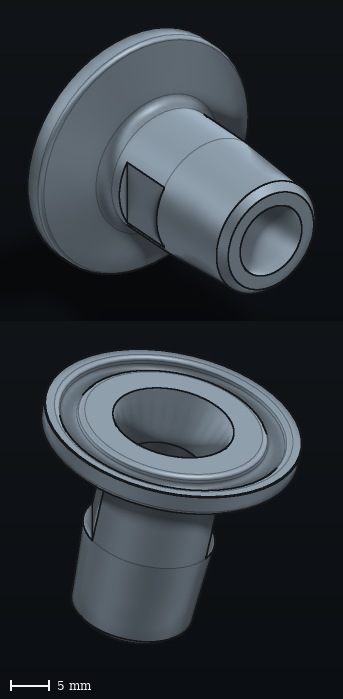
import cadquery as cq
import math

length = 30.0
flange_radius = 17.0

rim_front_chamfer = 0.1
rim_end = 2.3
rim_round = 0.7
neck_round = 1.87

body_radius = 8.75
neck_end = 7.2
body_end = 16.85
tip_radius = 8.02
tip_chamfer = 1.1

flat_start = 8.95
flat_end = 16.95
flat_distance = 7.48

bore_radius = 5.0
inlet_radius = 8.0
inlet_depth = 6.45

groove_center = 13.75
groove_half_width = 2.0
groove_lip_round = 0.8
groove_floor_round = 1.22
groove_wall_angle = math.radians(25)


def on_circle(center, radius, angle):
    """Point on a circle in the (x, radius) half plane."""
    return (center[0] + radius * math.cos(angle), center[1] + radius * math.sin(angle))


def revolve(profile):
    return profile.close().revolve(360, (0, 0, 0), (1, 0, 0))


def make_outside():
    rim_center = (rim_end, flange_radius - rim_round)
    neck_center = (neck_end, body_radius + neck_round)

    center_dx = neck_center[0] - rim_center[0]
    center_dr = neck_center[1] - rim_center[1]
    center_distance = math.hypot(center_dx, center_dr)
    normal = math.atan2(center_dr, center_dx) + math.acos((rim_round + neck_round) / center_distance)

    return revolve(
        cq.Workplane("XY")
        .lineTo(0, flange_radius - rim_front_chamfer)
        .lineTo(rim_front_chamfer, flange_radius)
        .lineTo(rim_end, flange_radius)
        .threePointArc(
            on_circle(rim_center, rim_round, (math.pi / 2 + normal) / 2),
            on_circle(rim_center, rim_round, normal),
        )
        .lineTo(*on_circle(neck_center, neck_round, math.pi + normal))
        .threePointArc(
            on_circle(neck_center, neck_round, (math.pi + normal + 1.5 * math.pi) / 2),
            (neck_end, body_radius),
        )
        .lineTo(body_end, body_radius)
        .lineTo(length - tip_chamfer, tip_radius)
        .lineTo(length, tip_radius - tip_chamfer)
        .lineTo(length, 0)
    )


def make_bore():
    return revolve(
        cq.Workplane("XY")
        .lineTo(0, inlet_radius)
        .lineTo(inlet_depth, bore_radius)
        .lineTo(length, bore_radius)
        .lineTo(length, 0)
    )


def make_groove():
    wall = groove_wall_angle
    wall_width = groove_half_width - (groove_lip_round + groove_floor_round) * math.cos(wall)
    wall_depth = wall_width / math.tan(wall)
    lip_depth = groove_lip_round * (1 - math.sin(wall))
    floor_depth = groove_floor_round * (1 - math.sin(wall))
    depth = lip_depth + wall_depth + floor_depth

    wall_top = groove_half_width - groove_lip_round * math.cos(wall)
    wall_bottom = wall_top - wall_width

    lip_mid_angle = (math.pi / 2 - wall) / 2
    lip_mid_x = groove_lip_round * (1 - math.cos(lip_mid_angle))
    lip_mid = groove_half_width - groove_lip_round * math.sin(lip_mid_angle)

    return revolve(
        cq.Workplane("XY")
        .moveTo(0, groove_center - groove_half_width)
        .threePointArc((lip_mid_x, groove_center - lip_mid), (lip_depth, groove_center - wall_top))
        .lineTo(lip_depth + wall_depth, groove_center - wall_bottom)
        .threePointArc((depth, groove_center), (lip_depth + wall_depth, groove_center + wall_bottom))
        .lineTo(lip_depth, groove_center + wall_top)
        .threePointArc((lip_mid_x, groove_center + lip_mid), (0, groove_center + groove_half_width))
    )


def make_flat_cutter(side):
    """Block that cuts one wrench flat; side is +1 or -1 along Y."""
    flat_length = flat_end - flat_start
    return cq.Workplane("XY").box(flat_length, body_radius, 2 * body_radius).translate(
        ((flat_start + flat_end) / 2, side * (flat_distance + body_radius / 2), 0)
    )


result = make_outside().cut(make_bore()).cut(make_groove())
for side in (-1, 1):
    result = result.cut(make_flat_cutter(side))